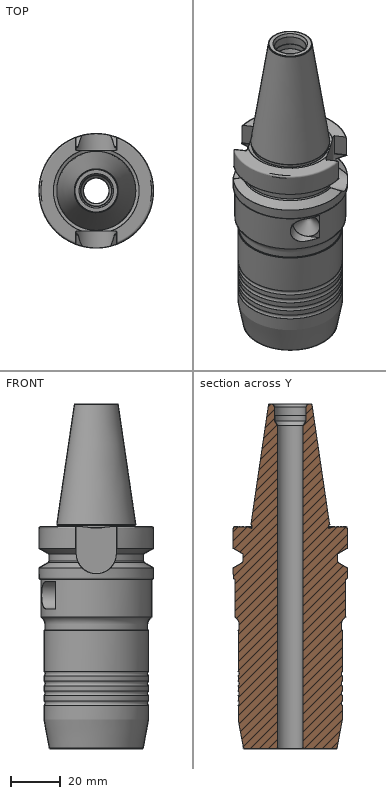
import cadquery as cq
import math


total_length = 138.4

taper_length = 48.4
gauge_radius = 31.75 / 2
taper_ratio = 7 / 24
taper_tip_radius = gauge_radius - taper_length * taper_ratio / 2
taper_tip_chamfer = 0.3

flange_radius = 23.0
flange_face_z = -0.85
flange_edge_fillet = 0.8
relief_outer_radius = 17.2
relief_inner_radius = 15.5
relief_depth = 0.65
groove_neck_radius = 19.0
groove_flank_angle = 30
groove_root_bevel = 0.4
groove_flank_height = (flange_radius - groove_neck_radius) * math.tan(math.radians(groove_flank_angle))
upper_flange_bottom_z = -9.6
lower_flange_top_z = -17.4
lower_flange_bottom_z = -21.35

body_radius = 22.3
lower_flange_fillet = flange_radius - body_radius
body_bottom_z = -37.1
body_edge_chamfer = 0.4
waist_radius = 20.65
waist_blend_bottom_z = -40.1
sleeve_radius = 21.0
sleeve_top_z = -42.3
sleeve_edge_chamfer = 0.25
nose_top_z = -78.3
nose_radius = 18.9
nose_edge_chamfer = 0.4
bottom_z = taper_length - total_length

grip_groove_count = 4
grip_groove_pitch = 3.95
grip_groove_width = 1.85
grip_groove_depth = 0.4
first_grip_groove_z = -59.85

bore_mouth_radius = 6.9
pilot_radius = 6.3
pilot_depth = 4.7
thread_radius = 6.15
thread_depth = 6.9
through_radius = 5.1
bore_mouth_angle = 26
bore_step_angle = 30

slot_half_width = 8.05
slot_floor_distance = 16.1
slot_arc_center_z = -11.7
slot_corner_radius = 0.35
slot_mouth_half_width = 8.4
slot_mouth_floor_gap = 0.35

pocket_radius = 5.5
pocket_center_y = -9.8
pocket_center_z = -28.4
pocket_floor_x = -16.4
drill_point_angle = 90


def make_turned_body():
    """Revolve the outer outline about Z."""
    blend_top_z = body_bottom_z - body_edge_chamfer
    blend_top_radius = body_radius - body_edge_chamfer
    blend_height = blend_top_z - waist_blend_bottom_z
    blend_step = blend_top_radius - waist_radius
    blend_radius = (blend_step**2 + blend_height**2) / (2 * blend_step)
    blend_mid_drop = blend_radius - math.sqrt(blend_radius**2 - (blend_height / 2) ** 2)
    blend_mid = (waist_radius + blend_mid_drop, waist_blend_bottom_z + blend_height / 2)

    groove_root_z = lower_flange_top_z + groove_flank_height
    flank_angle = math.radians(groove_flank_angle)
    bevel_run = groove_root_bevel * math.cos(flank_angle)
    bevel_drop = groove_root_bevel * math.sin(flank_angle)

    outline = (
        cq.Workplane("XZ")
        .moveTo(0, taper_length)
        .lineTo(taper_tip_radius - taper_tip_chamfer, taper_length)
        .lineTo(taper_tip_radius, taper_length - taper_tip_chamfer)
        .lineTo(gauge_radius, 0)
        .lineTo(relief_inner_radius, relief_inner_radius - gauge_radius)
        .lineTo(relief_inner_radius, flange_face_z - relief_depth)
        .lineTo(relief_outer_radius, flange_face_z)
        .lineTo(flange_radius - flange_edge_fillet, flange_face_z)
        .tangentArcPoint((flange_edge_fillet, -flange_edge_fillet))
        .lineTo(flange_radius, upper_flange_bottom_z)
        .lineTo(groove_neck_radius, upper_flange_bottom_z - groove_flank_height)
        .lineTo(groove_neck_radius, groove_root_z + groove_root_bevel)
        .lineTo(groove_neck_radius + bevel_run, groove_root_z - bevel_drop)
        .lineTo(flange_radius, lower_flange_top_z)
        .lineTo(flange_radius, lower_flange_bottom_z)
        .tangentArcPoint((-lower_flange_fillet, -lower_flange_fillet))
        .lineTo(body_radius, body_bottom_z)
        .lineTo(blend_top_radius, blend_top_z)
        .threePointArc(blend_mid, (waist_radius, waist_blend_bottom_z))
        .lineTo(waist_radius, sleeve_top_z)
        .lineTo(sleeve_radius - sleeve_edge_chamfer, sleeve_top_z)
        .lineTo(sleeve_radius, sleeve_top_z - sleeve_edge_chamfer)
        .lineTo(sleeve_radius, nose_top_z)
        .lineTo(nose_radius, bottom_z + nose_edge_chamfer)
        .lineTo(nose_radius - nose_edge_chamfer, bottom_z)
        .lineTo(0, bottom_z)
        .close()
    )
    return outline.revolve(360, (0, 0, 0), (0, 1, 0))


def make_grip_groove(center_z):
    """Arc-bottomed ring cutter for one grip groove."""
    half_width = grip_groove_width / 2
    return (
        cq.Workplane("XZ")
        .moveTo(sleeve_radius, center_z + half_width)
        .threePointArc(
            (sleeve_radius - grip_groove_depth, center_z),
            (sleeve_radius, center_z - half_width),
        )
        .lineTo(flange_radius, center_z - half_width)
        .lineTo(flange_radius, center_z + half_width)
        .close()
        .revolve(360, (0, 0, 0), (0, 1, 0))
    )


def make_bore():
    """Through bore: tapered mouth, pilot, slightly narrower threaded length, conical step."""
    mouth_height = (bore_mouth_radius - pilot_radius) / math.tan(math.radians(bore_mouth_angle))
    step_top_z = taper_length - thread_depth
    step_height = (thread_radius - through_radius) / math.tan(math.radians(bore_step_angle))
    return (
        cq.Workplane("XZ")
        .moveTo(0, taper_length)
        .lineTo(bore_mouth_radius, taper_length)
        .lineTo(pilot_radius, taper_length - mouth_height)
        .lineTo(pilot_radius, taper_length - pilot_depth)
        .lineTo(thread_radius, taper_length - pilot_depth)
        .lineTo(thread_radius, step_top_z)
        .lineTo(through_radius, step_top_z - step_height)
        .lineTo(through_radius, bottom_z)
        .lineTo(0, bottom_z)
        .close()
        .revolve(360, (0, 0, 0), (0, 1, 0))
    )


def make_front_slot():
    """Round-ended drive slot cutter on the -Y side: filleted floor edge, wider mouth in the upper flange."""
    depth = flange_radius - slot_floor_distance
    slot = (
        cq.Workplane("XZ", origin=(0, -slot_floor_distance, 0))
        .moveTo(-slot_half_width, taper_length)
        .lineTo(-slot_half_width, slot_arc_center_z)
        .threePointArc((0, slot_arc_center_z - slot_half_width), (slot_half_width, slot_arc_center_z))
        .lineTo(slot_half_width, taper_length)
        .close()
        .extrude(depth)
        .faces(">Y")
        .edges()
        .fillet(slot_corner_radius)
    )
    mouth_floor_distance = slot_floor_distance + slot_mouth_floor_gap
    mouth_height = taper_length - upper_flange_bottom_z
    mouth = (
        cq.Workplane("XZ", origin=(0, -mouth_floor_distance, upper_flange_bottom_z + mouth_height / 2))
        .rect(2 * slot_mouth_half_width, mouth_height)
        .extrude(flange_radius - mouth_floor_distance)
    )
    return slot.union(mouth)


def make_key_pocket():
    """Drilled pocket entering from -X, opened out squarely toward -Y at its floor."""
    depth = flange_radius + pocket_floor_x
    point_height = pocket_radius / math.tan(math.radians(drill_point_angle / 2))
    axis_start = cq.Vector(pocket_floor_x, pocket_center_y, pocket_center_z)
    drill = cq.Solid.makeCylinder(pocket_radius, depth, axis_start, cq.Vector(-1, 0, 0))
    point = cq.Solid.makeCone(pocket_radius, 0, point_height, axis_start, cq.Vector(1, 0, 0))
    opening_width = flange_radius + pocket_center_y
    opening = cq.Workplane("XY").box(depth, opening_width, 2 * pocket_radius).translate(
        (pocket_floor_x - depth / 2, pocket_center_y - opening_width / 2, pocket_center_z)
    )
    return opening.union(cq.Workplane(drill)).union(cq.Workplane(point))


result = make_turned_body().cut(make_bore())

for index in range(grip_groove_count):
    result = result.cut(make_grip_groove(first_grip_groove_z - index * grip_groove_pitch))

front_slot = make_front_slot()
back_slot = front_slot.rotate((0, 0, 0), (0, 0, 1), 180)
result = result.cut(front_slot).cut(back_slot).cut(make_key_pocket())